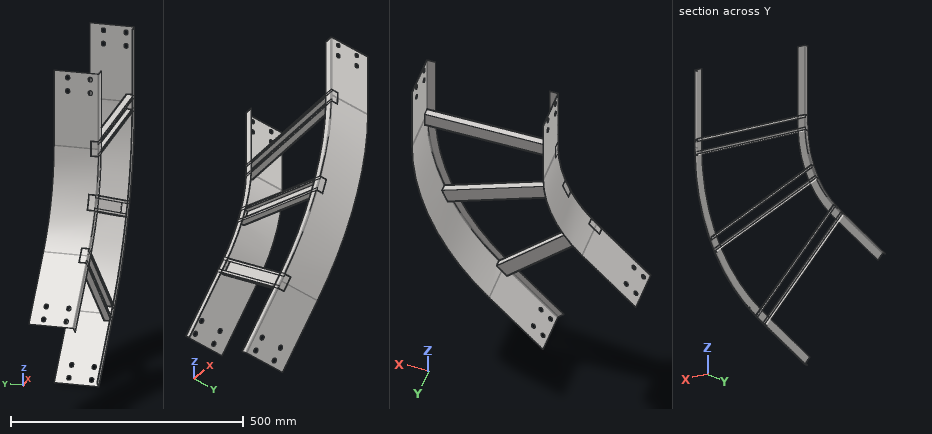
import cadquery as cq
import math


overall_height = 719.5
bend_angle = 45.0
inner_radius = 300.0
ladder_width = 300.0
rail_depth = 100.0
flange_width = 20.0
sheet = 1.5
fold_radius = 2.0

rung_count = 3
rung_width = 35.0
rung_depth = 17.0
rung_lip = 6.5

slot_length = 11.0
slot_width = 8.5
slot_end_distances = (14.5, 45.0)
slot_front_distances = (19.5, 70.0)

outer_radius = inner_radius + ladder_width
bend = math.radians(bend_angle)
straight_length = (overall_height - outer_radius * math.sin(bend)) / (1 + math.cos(bend))


def turned(shape, angle):
    """Turn a shape about the bend axis (the Y axis), from the +X side towards -Z."""
    return shape.rotate((0, 0, 0), (0, 1, 0), angle)


def rail_section(web_face, inward):
    """L section of a folded rail: web along Y, flange along X towards inward (+1 or -1)."""
    inner_fold = fold_radius - sheet
    arc_setback = 1 - math.sqrt(0.5)

    def at(inset, y):
        return web_face + inward * inset, y

    outer_middle = fold_radius * arc_setback
    inner_middle = sheet + inner_fold * arc_setback
    return (
        cq.Workplane("XY")
        .moveTo(*at(0, rail_depth))
        .lineTo(*at(0, fold_radius))
        .threePointArc(at(outer_middle, outer_middle), at(fold_radius, 0))
        .lineTo(*at(flange_width, 0))
        .lineTo(*at(flange_width, sheet))
        .lineTo(*at(fold_radius, sheet))
        .threePointArc(at(inner_middle, inner_middle), at(sheet, fold_radius))
        .lineTo(*at(sheet, rail_depth))
        .close()
    )


def rail(web_face, inward):
    """Side rail made of a vertical straight, the bend and a sloping straight."""
    upper_straight = rail_section(web_face, inward).extrude(straight_length)
    curve = rail_section(web_face, inward).revolve(bend_angle, (0, 0, 0), (0, 1, 0))
    lower_straight = turned(rail_section(web_face, inward).extrude(-straight_length), bend_angle)
    return upper_straight.union(curve).union(lower_straight)


def rung():
    """Lipped channel, open to the front, between the webs and behind the flanges, let half a sheet into each web."""
    half_width = rung_width / 2
    half_opening = half_width - rung_lip
    front = sheet
    back = front + rung_depth
    end_offset = sheet / 2
    profile = (
        cq.Workplane("YZ", origin=(inner_radius + end_offset, 0, 0))
        .moveTo(front, half_opening)
        .lineTo(front, half_width)
        .lineTo(back, half_width)
        .lineTo(back, -half_width)
        .lineTo(front, -half_width)
        .lineTo(front, -half_opening)
        .lineTo(front + sheet, -half_opening)
        .lineTo(front + sheet, -half_width + sheet)
        .lineTo(back - sheet, -half_width + sheet)
        .lineTo(back - sheet, half_width - sheet)
        .lineTo(front + sheet, half_width - sheet)
        .lineTo(front + sheet, half_opening)
        .close()
    )
    return profile.extrude(ladder_width - 2 * end_offset)


def end_slots(end_z, inward):
    """Cutters for the joint slots of both rails at a straight end lying along Z."""
    points = [
        (front, end_z + inward * distance)
        for front in slot_front_distances
        for distance in slot_end_distances
    ]
    return (
        cq.Workplane("YZ", origin=(inner_radius - sheet, 0, 0))
        .pushPoints(points)
        .slot2D(slot_length, slot_width, 90)
        .extrude(ladder_width + 2 * sheet)
    )


result = rail(inner_radius, 1).union(rail(outer_radius, -1))

result = result.cut(end_slots(straight_length, -1))
result = result.cut(turned(end_slots(-straight_length, 1), bend_angle))

for index in range(rung_count):
    result = result.union(turned(rung(), bend_angle * index / (rung_count - 1)))